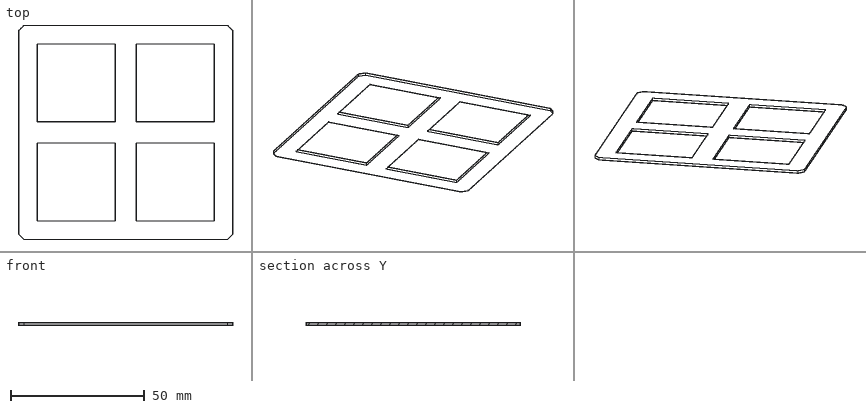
import cadquery as cq

plate_side = 80.0
plate_thickness = 1.0
corner_chamfer = 2.0

windows_per_side = 2
border_width = 7.0
window_side = 29.0
window_pitch = plate_side - 2 * border_width - window_side


def make_plate():
    """Square plate with chamfered corners, centred on the origin in X and Y and resting on Z = 0."""
    plate = cq.Workplane("XY").box(plate_side, plate_side, plate_thickness, centered=(True, True, False))
    return plate.edges("|Z").chamfer(corner_chamfer)


def cut_windows(plate):
    """Cut the grid of square windows through the plate."""
    return (
        plate.faces(">Z")
        .workplane()
        .rarray(window_pitch, window_pitch, windows_per_side, windows_per_side)
        .rect(window_side, window_side)
        .cutThruAll()
    )


result = cut_windows(make_plate())